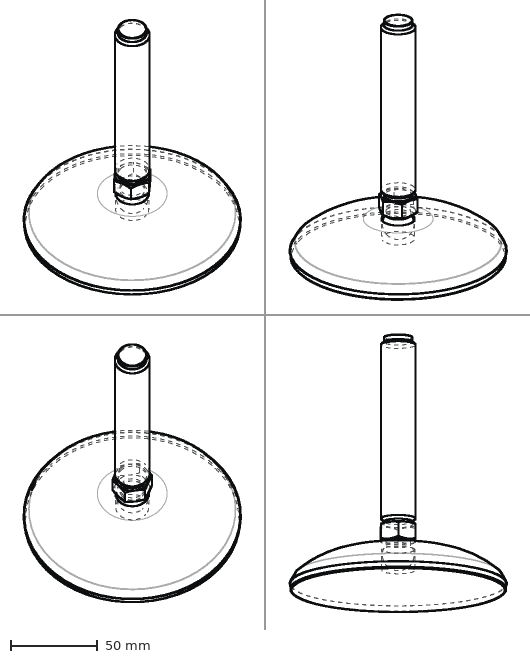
import cadquery as cq
import math


pad_diameter = 124.3
pad_height = 3.9
pad_chamfer = 0.7

plate_diameter = 125.0
plate_top = 23.8
skirt_top_radius = 59.5
skirt_angle = 60.0
flat_radius = 20.0
shoulder_fillet = 1.5

seat_diameter = 19.0

rod_diameter = 20.0
rod_bottom = 42.1
neck_diameter = 16.5
tip_diameter = 16.5
tip_length = 2.8
lead_in_diameter = 16.8
tip_chamfer = 0.3
overall_height = 148.7
hex_width = 20.0
hex_bottom = 28.5
hex_height = 10.0
hex_chamfer_angle = 30.0
ankle_diameter = 14.3
ankle_bottom = 26.5
ball_diameter = 18.3

plate_radius = plate_diameter / 2
skirt_top = pad_height + (plate_radius - skirt_top_radius) * math.tan(math.radians(skirt_angle))
rod_radius = rod_diameter / 2
neck_radius = neck_diameter / 2
tip_radius = tip_diameter / 2
lead_in_radius = lead_in_diameter / 2
ankle_radius = ankle_diameter / 2
ball_radius = ball_diameter / 2
ball_centre = ankle_bottom - math.sqrt(ball_radius**2 - ankle_radius**2)
ball_bottom = ball_centre - ball_radius
hex_top = hex_bottom + hex_height


def revolve_profile(profile):
    """Turn a closed half-profile, drawn as radius and height, about the Z axis."""
    return profile.close().revolve(360, (0, 0, 0), (0, 1, 0))


def make_pad():
    pad = cq.Workplane("XY").circle(pad_diameter / 2).extrude(pad_height)
    return pad.faces("<Z").edges().chamfer(pad_chamfer)


def make_plate():
    dome_run = skirt_top_radius - flat_radius
    dome_drop = plate_top - skirt_top
    dome_radius = (dome_run**2 + dome_drop**2) / (2 * dome_drop)
    half_angle = math.asin(dome_run / dome_radius) / 2
    dome_middle = (
        flat_radius + dome_radius * math.sin(half_angle),
        plate_top - dome_radius * (1 - math.cos(half_angle)),
    )
    dome = revolve_profile(
        cq.Workplane("XZ")
        .moveTo(0, pad_height)
        .lineTo(plate_radius, pad_height)
        .lineTo(skirt_top_radius, skirt_top)
        .threePointArc(dome_middle, (flat_radius, plate_top))
        .lineTo(0, plate_top)
    )
    shoulder = cq.selectors.BoxSelector(
        (-plate_diameter, -plate_diameter, skirt_top - shoulder_fillet),
        (plate_diameter, plate_diameter, skirt_top + shoulder_fillet),
    )
    dome = dome.edges("%CIRCLE").edges(shoulder).fillet(shoulder_fillet)
    seat_plane = cq.Workplane("XY").workplane(offset=ball_bottom)
    seat = seat_plane.circle(seat_diameter / 2).extrude(plate_top - ball_bottom)
    return dome.cut(seat)


def make_hex():
    """Hexagon with flats facing -Y and +Y, its corners turned off by a cone at each end."""
    corner_radius = hex_width / math.sqrt(3)
    flat_distance = hex_width / 2
    cone_height = (corner_radius - flat_distance) * math.tan(math.radians(hex_chamfer_angle))
    hex_plane = cq.Workplane("XY").workplane(offset=hex_bottom)
    prism = hex_plane.polygon(6, 2 * corner_radius).extrude(hex_height)
    envelope = revolve_profile(
        cq.Workplane("XZ")
        .moveTo(0, hex_bottom)
        .lineTo(flat_distance, hex_bottom)
        .lineTo(corner_radius, hex_bottom + cone_height)
        .lineTo(corner_radius, hex_top - cone_height)
        .lineTo(flat_distance, hex_top)
        .lineTo(0, hex_top)
    )
    return prism.intersect(envelope)


def make_spindle():
    shaft = revolve_profile(
        cq.Workplane("XZ")
        .moveTo(0, ball_bottom)
        .threePointArc((ball_radius, ball_centre), (ankle_radius, ankle_bottom))
        .lineTo(ankle_radius, hex_bottom)
        .lineTo(neck_radius, hex_bottom)
        .lineTo(neck_radius, rod_bottom - (rod_radius - neck_radius))
        .lineTo(rod_radius, rod_bottom)
        .lineTo(rod_radius, overall_height - tip_length - (rod_radius - lead_in_radius))
        .lineTo(lead_in_radius, overall_height - tip_length)
        .lineTo(tip_radius, overall_height - tip_length)
        .lineTo(tip_radius, overall_height - tip_chamfer)
        .lineTo(tip_radius - tip_chamfer, overall_height)
        .lineTo(0, overall_height)
    )
    return shaft.union(make_hex())


pad = make_pad()
plate = make_plate()
spindle = make_spindle()

result = cq.Compound.makeCompound([pad.val(), plate.val(), spindle.val()])